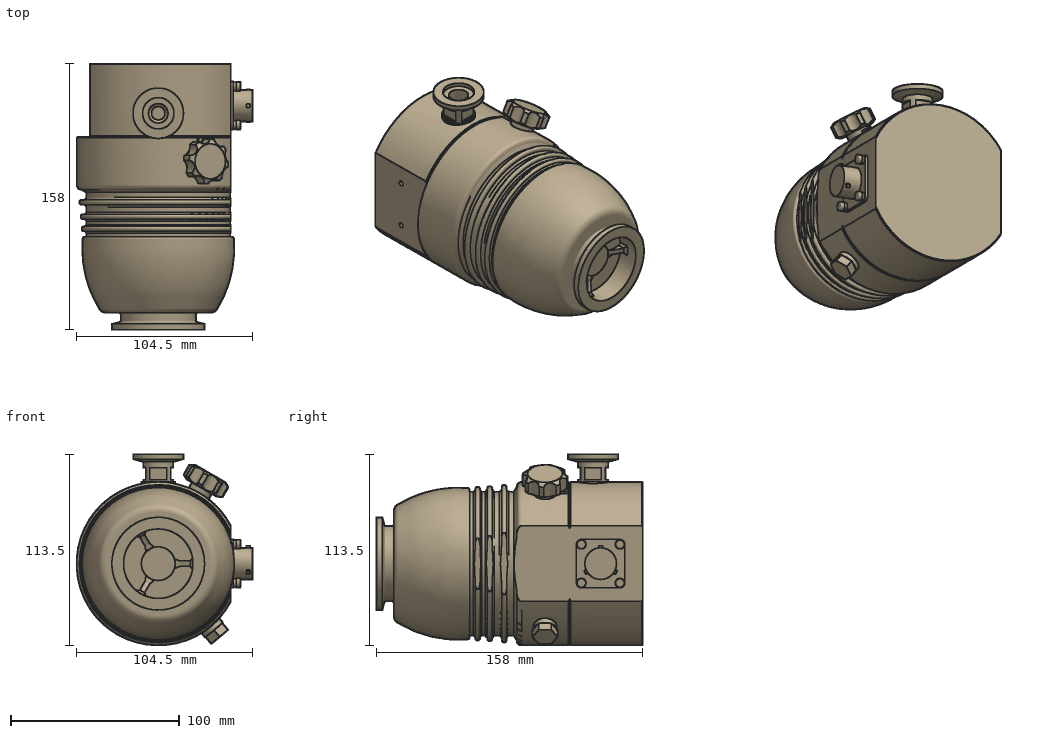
import cadquery as cq
import math


total_length = 158.0
body_radius = 48.5
joint_y = 114.6
joint_chamfer = 0.7
rear_chamfer = 0.5
shoulder_y = 86.1
shoulder_radius = 3.0
shoulder_cone_end_y = 81.6
side_flat_x = 43.0
rear_flat_x = -40.5

neck_radius = 42.8
crest_radius = 1.5
fins = [(75.7, 46.8, 1.4), (67.2, 46.1, 1.2), (60.0, 45.6, 1.0)]

dome_radius = 45.0
dome_back_y = 53.9
dome_back_fillet = 1.4
dome_mid = (41.9, 27.5)
dome_front = (35.0, 12.4)
dome_edge_mid = (33.4, 10.9)
dome_face = (31.0, 10.2)

inlet_radius = 27.5
inlet_rim = 3.6
inlet_neck_radius = 22.4
inlet_taper_y = 4.7
inlet_fillet = 0.8
bore_radius = 20.6
bore_depth = 12.8
hub_radius = 10.0
hub_height = 0.1
rib_count = 3
rib_half_width = 1.6
rib_flare_hub = 2.7
rib_flare_wall = 3.6
rib_inner_bend = 12.9
rib_outer_bend = 19.0
rib_inner_bend_y = 12.0
rib_outer_bend_y = 8.8
rib_wall_y = 6.8
rib_embed = 1.0

port_y = 128.5
port_top_z = 65.0
port_radius = 15.0
port_rim = 3.0
port_taper = 1.7
collar_radius = 9.0
collar_flat = 7.5
collar_flat_bottom_z = 49.8
collar_flat_top_z = 57.0
port_recess_radius = 9.3
port_recess_depth = 2.3
port_foot_radius = 10.0
port_foot_top_z = 48.6
port_bore_radius = 5.8
port_bore_depth = 10.0
port_pilot_radius = 4.0
port_pilot_depth = 5.0

fitting_y = 100.0
fitting_root = 40.0
fitting_neck_radius = 6.9
knob_tilt = 30.0
knob_bottom = 51.7
knob_top = 61.7
knob_radius = 13.4
knob_face_radius = 10.4
knob_bevel = 1.6
knob_lobes = 8
knob_lobe_angle = -9.0
scallop_radius = 4.5
scallop_centre = 15.4
tab_width = 2.5
tab_end_y = 114.0
tab_top = 50.0
plug_tilt = 140.0
plug_hex_bottom = 51.4
plug_top = 56.7
plug_across_flats = 13.0

connector_y = 133.0
connector_radius = 9.4
connector_end_x = 56.0
plate_size = 28.8
plate_thickness = 1.6
plate_corner = 3.3
screw_offset = 11.45
screw_diameter = 5.5
screw_end_x = 48.8
screw_edge_fillet = 0.5
washer_thickness = 1.7
washer_diameter = 5.2
pin_diameter = 2.4
pin_x = 53.3
pin_tip_radius = 10.7
pin_count = 3

mount_hole_diameter = 3.0
mount_hole_depth = 8.0
mount_hole_y = 136.0
mount_hole_spacing = 30.0

overlap = 1.0
cut_size = 200.0


def diagonal_point(centre, radius, radial_sign, axial_sign):
    """Point on a circle at 45 degrees, used as the middle of a quarter arc."""
    step = radius * math.sqrt(0.5)
    return (centre[0] + radial_sign * step, centre[1] + axial_sign * step)


def add_fin(profile, centre_y, tip_radius, foot):
    """Continue the profile (towards +Y) over one fin with a round crest and filleted roots."""
    front_y = centre_y - crest_radius
    back_y = centre_y + crest_radius
    arc_radius = tip_radius - crest_radius
    root = neck_radius + foot
    return (
        profile.lineTo(neck_radius, front_y - foot)
        .threePointArc(diagonal_point((root, front_y - foot), foot, -1, 1), (root, front_y))
        .lineTo(arc_radius, front_y)
        .threePointArc((tip_radius, centre_y), (arc_radius, back_y))
        .lineTo(root, back_y)
        .threePointArc(diagonal_point((root, back_y + foot), foot, -1, -1), (neck_radius, back_y + foot))
    )


def make_body():
    """Revolved housing: flange, dome, fins and the two housing cylinders."""
    inlet_fillet_radius = inlet_neck_radius + inlet_fillet
    neck_front_y = inlet_taper_y + inlet_fillet
    neck_back_y = dome_face[1] - inlet_fillet
    profile = (
        cq.Workplane("XY")
        .moveTo(0, 0)
        .lineTo(inlet_radius, 0)
        .lineTo(inlet_radius, inlet_rim)
        .lineTo(inlet_fillet_radius, inlet_taper_y)
        .threePointArc(
            diagonal_point((inlet_fillet_radius, neck_front_y), inlet_fillet, -1, -1),
            (inlet_neck_radius, neck_front_y),
        )
        .lineTo(inlet_neck_radius, neck_back_y)
        .threePointArc(
            diagonal_point((inlet_fillet_radius, neck_back_y), inlet_fillet, -1, 1),
            (inlet_fillet_radius, dome_face[1]),
        )
        .lineTo(*dome_face)
        .threePointArc(dome_edge_mid, dome_front)
        .threePointArc(dome_mid, (dome_radius, dome_back_y))
    )
    back_centre = (dome_radius - dome_back_fillet, dome_back_y)
    dome_end_y = dome_back_y + dome_back_fillet
    profile = (
        profile.threePointArc(
            diagonal_point(back_centre, dome_back_fillet, 1, 1),
            (back_centre[0], dome_end_y),
        )
        .lineTo(neck_radius, dome_end_y)
    )
    for centre_y, tip_radius, foot in sorted(fins):
        profile = add_fin(profile, centre_y, tip_radius, foot)
    shoulder_face_y = shoulder_y - shoulder_radius
    shoulder_centre = (body_radius - shoulder_radius, shoulder_y)
    return (
        profile.lineTo(neck_radius, shoulder_cone_end_y)
        .lineTo(shoulder_centre[0], shoulder_face_y)
        .threePointArc(
            diagonal_point(shoulder_centre, shoulder_radius, 1, -1),
            (body_radius, shoulder_y),
        )
        .lineTo(body_radius, joint_y - joint_chamfer)
        .lineTo(body_radius - joint_chamfer, joint_y)
        .lineTo(body_radius, joint_y + joint_chamfer)
        .lineTo(body_radius, total_length - rear_chamfer)
        .lineTo(body_radius - rear_chamfer, total_length)
        .lineTo(0, total_length)
        .close()
        .revolve(360, (0, 0, 0), (0, 1, 0))
    )


def box_from(x, y):
    """Large box reaching to +X and +Y from the given corner, centred on Z."""
    return (
        cq.Workplane("XY")
        .box(cut_size, cut_size, cut_size, centered=(False, False, True))
        .translate((x, y, 0))
    )


def cut_flats(body):
    """Cut the long +X flat and the -X flat of the rear housing."""
    side_cut = box_from(side_flat_x, dome_back_y + dome_back_fillet)
    rear_cut = box_from(rear_flat_x - cut_size, joint_y)
    return body.cut(side_cut).cut(rear_cut)


def cylinder_y(radius, start_y, end_y):
    """Cylinder on the pump axis between two Y positions."""
    return cq.Workplane("XZ", origin=(0, start_y, 0)).circle(radius).extrude(start_y - end_y)


def make_rib():
    """One sloping rib along +X joining the hub to the bore wall."""
    wall = bore_radius + rib_embed
    floor = bore_depth + rib_embed
    side = (
        cq.Workplane("XY")
        .polyline([
            (hub_radius, floor),
            (hub_radius, bore_depth - hub_height),
            (rib_inner_bend, rib_inner_bend_y),
            (rib_outer_bend, rib_outer_bend_y),
            (bore_radius, rib_wall_y),
            (wall, rib_wall_y),
            (wall, floor),
        ])
        .close()
        .extrude(rib_flare_wall, both=True)
    )
    upper_edge = [
        (hub_radius, rib_flare_hub),
        (rib_inner_bend, rib_half_width),
        (rib_outer_bend, rib_half_width),
        (bore_radius, rib_flare_wall),
        (wall, rib_flare_wall),
    ]
    lower_edge = [(x, -z) for x, z in reversed(upper_edge)]
    plan = cq.Workplane("XZ").polyline(upper_edge + lower_edge).close().extrude(-floor)
    return side.intersect(plan)


def add_inlet(body):
    """Cut the inlet bore and add the hub with its ribs."""
    body = body.cut(cylinder_y(bore_radius, 0, bore_depth))
    body = body.union(cylinder_y(hub_radius, bore_depth - hub_height, bore_depth + overlap))
    rib = make_rib()
    for index in range(rib_count):
        body = body.union(rib.rotate((0, 0, 0), (0, 1, 0), index * 360.0 / rib_count))
    return body


def add_port(body):
    """Add the flanged vacuum port with wrench flats and a stepped bore."""
    rim_z = port_top_z - port_rim
    taper_z = rim_z - port_taper
    port = (
        cq.Workplane("XZ")
        .polyline([
            (0, fitting_root),
            (port_foot_radius, fitting_root),
            (port_foot_radius, port_foot_top_z),
            (collar_radius, port_foot_top_z),
            (collar_radius, taper_z),
            (port_radius, rim_z),
            (port_radius, port_top_z),
            (0, port_top_z),
        ])
        .close()
        .revolve(360, (0, 0, 0), (0, 1, 0))
    )
    flat_height = collar_flat_top_z - collar_flat_bottom_z
    flat_plane = cq.Workplane("XY", origin=(0, 0, collar_flat_bottom_z))
    sleeve = flat_plane.circle(collar_radius + overlap).extrude(flat_height)
    square = flat_plane.rect(2 * collar_flat, 2 * collar_flat).extrude(flat_height)
    port = port.cut(sleeve.cut(square)).translate((0, port_y, 0))

    recess_z = port_top_z - port_recess_depth
    step_z = recess_z - port_bore_depth
    pilot_z = step_z - (port_bore_radius - port_pilot_radius)
    bottom_z = pilot_z - port_pilot_depth
    bore = (
        cq.Workplane("XZ")
        .polyline([
            (0, bottom_z),
            (port_pilot_radius, bottom_z),
            (port_pilot_radius, pilot_z),
            (port_bore_radius, step_z),
            (port_bore_radius, recess_z),
            (port_recess_radius, recess_z),
            (port_recess_radius, port_top_z),
            (0, port_top_z),
        ])
        .close()
        .revolve(360, (0, 0, 0), (0, 1, 0))
        .translate((0, port_y, 0))
    )
    return body.union(port).cut(bore)


def place_fitting(fitting, tilt):
    """Move a fitting built along +Z to its Y position and tilt it around the pump axis."""
    return fitting.translate((0, fitting_y, 0)).rotate((0, 0, 0), (0, 1, 0), tilt)


def fitting_neck(top):
    """Round neck of a fitting along +Z, starting inside the housing wall."""
    root_plane = cq.Workplane("XY", origin=(0, 0, fitting_root))
    return root_plane.circle(fitting_neck_radius).extrude(top - fitting_root)


def make_knob():
    """Scalloped vent knob on its neck, with the small locating tab behind it."""
    knob = (
        cq.Workplane("XZ")
        .polyline([
            (0, knob_bottom),
            (knob_face_radius, knob_bottom),
            (knob_radius, knob_bottom + knob_bevel),
            (knob_radius, knob_top - knob_bevel),
            (knob_face_radius, knob_top),
            (0, knob_top),
        ])
        .close()
        .revolve(360, (0, 0, 0), (0, 1, 0))
    )
    lobe_pitch = 360.0 / knob_lobes
    scallops = (
        cq.Workplane("XY", origin=(0, 0, knob_bottom))
        .polarArray(scallop_centre, knob_lobe_angle + lobe_pitch / 2, 360, knob_lobes)
        .circle(scallop_radius)
        .extrude(knob_top - knob_bottom)
    )
    tab = (
        cq.Workplane("XY", origin=(0, 0, fitting_root))
        .rect(tab_width, 2 * (tab_end_y - fitting_y))
        .extrude(tab_top - fitting_root)
        .intersect(box_from(-cut_size / 2, 0))
    )
    return knob.cut(scallops).union(fitting_neck(knob_bottom + overlap)).union(tab)


def make_plug():
    """Hexagonal sealing plug with a corner towards -Y."""
    hexagon = (
        cq.Workplane("XY", origin=(0, 0, plug_hex_bottom))
        .polygon(6, plug_across_flats, circumscribed=True)
        .extrude(plug_top - plug_hex_bottom)
    )
    return hexagon.union(fitting_neck(plug_hex_bottom))


def flat_plane_at(x):
    """Plane facing +X, centred on the connector axis."""
    return cq.Workplane("YZ", origin=(x, connector_y, 0))


def make_connector():
    """Round bayonet connector on a square plate held by four screws."""
    plate_x = side_flat_x + plate_thickness
    plate = (
        flat_plane_at(side_flat_x - overlap)
        .rect(plate_size, plate_size)
        .extrude(plate_thickness + overlap)
        .edges("|X")
        .fillet(plate_corner)
    )
    shell = (
        flat_plane_at(side_flat_x)
        .circle(connector_radius)
        .extrude(connector_end_x - side_flat_x)
    )
    connector = plate.union(shell)

    screw_pitch = 2 * screw_offset
    head_x = plate_x + washer_thickness
    washers = (
        flat_plane_at(side_flat_x)
        .rarray(screw_pitch, screw_pitch, 2, 2)
        .circle(washer_diameter / 2)
        .extrude(head_x - side_flat_x)
    )
    heads = (
        flat_plane_at(head_x)
        .rarray(screw_pitch, screw_pitch, 2, 2)
        .circle(screw_diameter / 2)
        .extrude(screw_end_x - head_x)
        .faces(">X")
        .edges()
        .fillet(screw_edge_fillet)
    )
    connector = connector.union(washers).union(heads)

    pin = cq.Workplane("XY", origin=(pin_x, connector_y, 0)).circle(pin_diameter / 2).extrude(pin_tip_radius)
    for index in range(pin_count):
        turn = index * 360.0 / pin_count
        connector = connector.union(pin.rotate((0, connector_y, 0), (1, connector_y, 0), turn))
    return connector


def cut_mount_holes(body):
    """Drill the two blind mounting holes into the -X flat."""
    holes = (
        cq.Workplane("YZ", origin=(rear_flat_x, mount_hole_y, 0))
        .pushPoints([(0, -mount_hole_spacing / 2), (0, mount_hole_spacing / 2)])
        .circle(mount_hole_diameter / 2)
        .extrude(mount_hole_depth)
    )
    return body.cut(holes)


pump = cut_flats(make_body())
pump = add_inlet(pump)
pump = add_port(pump)
pump = pump.union(place_fitting(make_knob(), knob_tilt))
pump = pump.union(place_fitting(make_plug(), plug_tilt))
pump = pump.union(make_connector())
result = cut_mount_holes(pump)